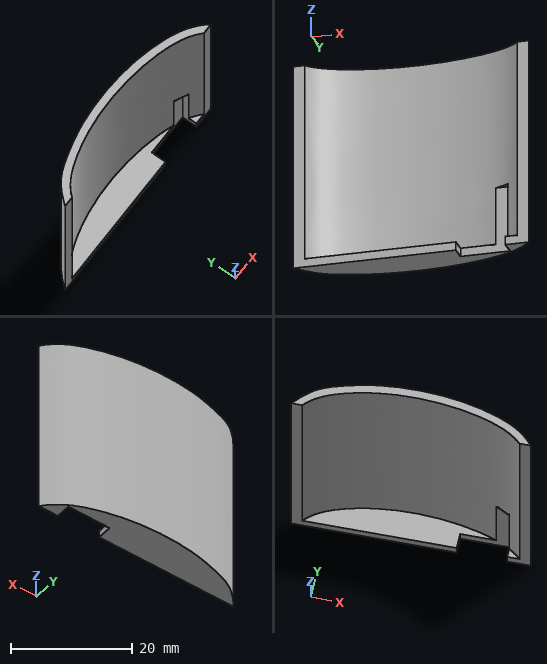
import cadquery as cq

width = 40.5
depth = 6.9
height = 36.0

edge_width = 1.95
outer_crown_x = 19.65
inner_crown_x = 19.45
inner_rise = 5.3

floor_thickness = 1.45

notch_left = 27.95
notch_right = 36.45
notch_depth = 2.85
notch_height = 11.5

outer_curve = [
    (0, 0),
    (1.75, 2.0),
    (3.4, 3.35),
    (7.55, 5.1),
    (12.55, 6.3),
    (outer_crown_x, depth),
    (25.8, 6.5),
    (32.4, 5.02),
    (36.85, 3.15),
    (width, 0),
]
inner_curve = [
    (edge_width, 0),
    (4.2, 2.0),
    (7.55, 3.5),
    (12.55, 4.75),
    (inner_crown_x, inner_rise),
    (25.8, 4.85),
    (32.4, 3.4),
    (36.05, 1.85),
    (width - edge_width, 0),
]


def arch_prism(curve, prism_height):
    """Solid between an arched curve and the flat plane Y = 0."""
    profile = cq.Workplane("XY").moveTo(*curve[0])
    profile = profile.spline(curve[1:], includeCurrent=True).close()
    return profile.extrude(prism_height)


def make_notch():
    """Box cut upward from the bottom at the open front."""
    notch_width = notch_right - notch_left
    box = cq.Workplane("XY").box(notch_width, notch_depth, notch_height, centered=False)
    return box.translate((notch_left, 0, 0))


cavity = arch_prism(inner_curve, height - floor_thickness).translate((0, 0, floor_thickness))
result = arch_prism(outer_curve, height).cut(cavity).cut(make_notch())